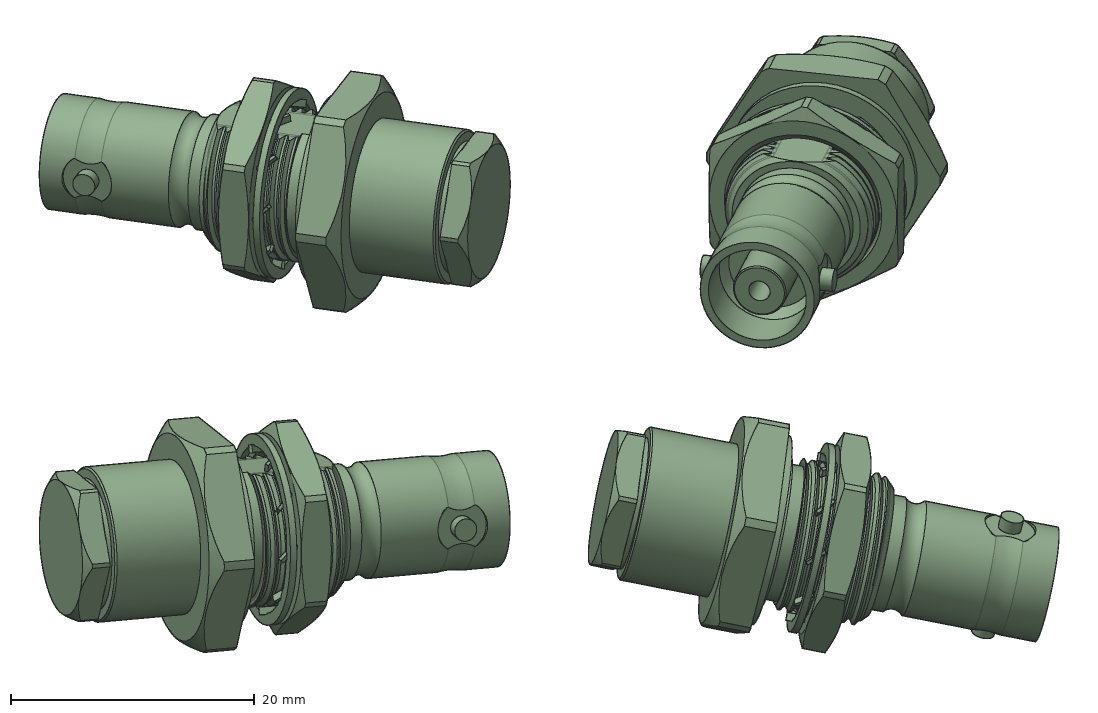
import cadquery as cq
import math

LENGTH = 37.27

TUBE_R = 9.6 / 2
BORE_R = 8.25 / 2
BORE_LENGTH = 3.9
SEAT_R = 3.6
BORE_DEPTH = 5.2
POST_R = 4.45 / 2
POST_FACE_X = 0.8
POST_CHAMFER = 0.1
CONTACT_R = 1.8 / 2
CONTACT_DEPTH = 3.73

PIN_X = 4.1
PIN_R = 1.9 / 2
PIN_END_Y = 5.55
SPOT_R = 2.143
SPOT_Y = 4.47
PIN_GROOVE_WIDTH = 2.27
PIN_GROOVE_DEPTH = 0.1

ROOT_GROOVE_X = 12.0
ROOT_GROOVE_WIDTH = 1.68
ROOT_GROOVE_DEPTH = 0.37

BARREL_X = 14.0
LEAD_R = 5.4
THREAD_CREST_R = 12.6 / 2
THREAD_ROOT_R = 5.93
THREAD_PITCH = 0.9
THREAD_START_X = 14.27
THREAD_TURNS = 9
CREST_WIDTH = 0.15
RIDGE_WIDTH = 0.67
RIDGE_EMBED = 0.1
RELIEF_X = 21.65
RELIEF_R = 5.65
COLLAR_X = 22.77
COLLAR_R = 12.7 / 2
KEY_FLAT_Z = 5.45

FLANGE_X = 23.15
FLANGE_R = 15.8 / 2
BODY_HEX_X = 23.8
BODY_HEX_FLATS = 17.4
BODY_HEX_CORNER_R = 19.68 / 2
BODY_HEX_FACE_R = 8.57
BODY_HEX_CHAMFER = 0.9
SLEEVE_X = 27.32
SLEEVE_R = 6.4
SLEEVE_END_X = 34.7
SLEEVE_CHAMFER = 0.15

NUT_X = 16.5
NUT_END_X = 19.12
NUT_FLATS = 15.88
NUT_CORNER_R = 18.05 / 2
NUT_FACE_R = 15.8 / 2
NUT_CHAMFER = 0.37
NUT_THREAD_GAP = 0.05
NUT_THREAD_TURNS = 5
NUT_MOUTH_R = 13.25 / 2

WASHER_X = 19.5
WASHER_END_X = 20.05
WASHER_R = 15.8 / 2
WASHER_BORE_R = 6.9
TOOTH_COUNT = 10
TOOTH_TIP_R = 12.7 / 2
TOOTH_FIRST_ANGLE = 34.0
TOOTH_TWIST = -45.0
TOOTH_WIDTH = 1.85
TOOTH_THICKNESS = 0.3
TOOTH_X = 19.8

NECK_R = 11.0 / 2
CLAMP_HEX_X = 35.15
CLAMP_FLATS = 11.18
CLAMP_CORNER_R = 12.7 / 2
CLAMP_FACE_R = 5.6
CLAMP_CHAMFER = 0.6


def revolved(points):
    """Solid of revolution about X from a closed (x, radius) outline."""
    return cq.Workplane("XY").polyline(points).close().revolve(360, (0, 0, 0), (1, 0, 0))


def cylinder(x_start, x_end, radius):
    """Cylinder on the X axis between two X positions."""
    return cq.Workplane("YZ", origin=(x_start, 0, 0)).circle(radius).extrude(x_end - x_start)


def hexagon(x_start, x_end, flats, corner_turn):
    """Hexagonal prism with corners on the Y axis, turned by an angle about X."""
    corner_diameter = flats / math.cos(math.pi / 6)
    prism = cq.Workplane("YZ", origin=(x_start, 0, 0)).polygon(6, corner_diameter).extrude(x_end - x_start)
    return prism.rotate((0, 0, 0), (1, 0, 0), corner_turn)


def arc_groove(x_center, width, depth):
    """Ring cutter whose section is a shallow arc sunk into the tube surface."""
    left = x_center - width / 2
    right = x_center + width / 2
    outside = TUBE_R + depth
    return (
        cq.Workplane("XY")
        .moveTo(left, outside)
        .lineTo(left, TUBE_R)
        .threePointArc((x_center, TUBE_R - depth), (right, TUBE_R))
        .lineTo(right, outside)
        .close()
        .revolve(360, (0, 0, 0), (1, 0, 0))
    )


def make_tube():
    """Bayonet tube with its bore, centre post, grooves and pins."""
    tube = cylinder(0, BARREL_X, TUBE_R)
    bore = revolved([(0, 0), (0, BORE_R), (BORE_LENGTH, BORE_R), (BORE_DEPTH, SEAT_R), (BORE_DEPTH, 0)])
    tube = tube.cut(bore)
    tube = tube.cut(arc_groove(PIN_X, PIN_GROOVE_WIDTH, PIN_GROOVE_DEPTH))
    tube = tube.cut(arc_groove(ROOT_GROOVE_X, ROOT_GROOVE_WIDTH, ROOT_GROOVE_DEPTH))

    post = cylinder(POST_FACE_X, BORE_DEPTH, POST_R).faces("<X").chamfer(POST_CHAMFER)
    post = post.cut(cylinder(POST_FACE_X, POST_FACE_X + CONTACT_DEPTH, CONTACT_R))
    tube = tube.union(post)

    wall_middle = (BORE_R + SPOT_Y) / 2
    for side in (1, -1):
        spot_plane = cq.Plane((PIN_X, side * SPOT_Y, 0), (1, 0, 0), (0, side, 0))
        tube = tube.cut(cq.Workplane(spot_plane).circle(SPOT_R).extrude(TUBE_R))
        pin_plane = cq.Plane((PIN_X, side * wall_middle, 0), (1, 0, 0), (0, side, 0))
        tube = tube.union(cq.Workplane(pin_plane).circle(PIN_R).extrude(PIN_END_Y - wall_middle))
    return tube


def helical_ridge(x_start, turns, tip_r, tip_width, foot_r, foot_width):
    """Right-handed helical ridge whose foot is extended into the wall that carries it."""
    half_tip = tip_width / 2
    half_foot = foot_width / 2
    embed_r = foot_r + math.copysign(RIDGE_EMBED, foot_r - tip_r)
    half_embed = half_foot + (half_foot - half_tip) * RIDGE_EMBED / abs(foot_r - tip_r)
    path = cq.Wire.makeHelix(THREAD_PITCH, THREAD_PITCH * turns, embed_r)
    profile = cq.Workplane("XZ").polyline(
        [(embed_r, -half_embed), (tip_r, -half_tip), (tip_r, half_tip), (embed_r, half_embed)]
    ).close()
    ridge = profile.sweep(cq.Workplane(path), isFrenet=True)
    return ridge.rotate((0, 0, 0), (0, 1, 0), 90).translate((x_start, 0, 0))


def make_barrel():
    """Threaded barrel with its lead chamfer, thread relief, collar and key flat."""
    clear_r = THREAD_CREST_R + 0.37
    key_cutter = cq.Workplane("XY", origin=((BARREL_X + FLANGE_X) / 2, 0, KEY_FLAT_Z)).rect(
        FLANGE_X - BARREL_X, 2 * clear_r
    ).extrude(clear_r)
    core = revolved(
        [
            (BARREL_X, 0),
            (BARREL_X, LEAD_R),
            (BARREL_X + THREAD_ROOT_R - LEAD_R, THREAD_ROOT_R),
            (RELIEF_X, THREAD_ROOT_R),
            (RELIEF_X, RELIEF_R),
            (COLLAR_X, RELIEF_R),
            (COLLAR_X, COLLAR_R),
            (FLANGE_X, COLLAR_R),
            (FLANGE_X, 0),
        ]
    ).cut(key_cutter)
    ridge_envelope = revolved(
        [
            (BARREL_X, 0),
            (BARREL_X, LEAD_R),
            (BARREL_X + clear_r - LEAD_R, clear_r),
            (RELIEF_X, clear_r),
            (RELIEF_X, 0),
        ]
    ).cut(key_cutter)
    ridge = helical_ridge(
        THREAD_START_X, THREAD_TURNS, THREAD_CREST_R, CREST_WIDTH, THREAD_ROOT_R, RIDGE_WIDTH
    )
    return core.union(ridge.intersect(ridge_envelope, clean=False), clean=False)


def make_body():
    """Connector body: tube, barrel, flange, fixed hexagon and rear sleeve."""
    hex_envelope = revolved(
        [
            (BODY_HEX_X, 0),
            (BODY_HEX_X, BODY_HEX_CORNER_R),
            (SLEEVE_X - BODY_HEX_CHAMFER, BODY_HEX_CORNER_R),
            (SLEEVE_X, BODY_HEX_FACE_R),
            (SLEEVE_X, 0),
        ]
    )
    body_hex = hexagon(BODY_HEX_X, SLEEVE_X, BODY_HEX_FLATS, 0).intersect(hex_envelope)
    sleeve = cylinder(SLEEVE_X, SLEEVE_END_X, SLEEVE_R).faces(">X").chamfer(SLEEVE_CHAMFER)
    flange = cylinder(FLANGE_X, BODY_HEX_X, FLANGE_R)
    rear = flange.union(body_hex).union(sleeve)
    return make_barrel().union(make_tube(), clean=False).union(rear, clean=False)


def nut_bore(radius):
    """Bore of the panel nut with a 45 degree chamfer from the mouth down to a radius."""
    mouth = NUT_MOUTH_R - radius
    return revolved(
        [
            (NUT_X, 0),
            (NUT_X, NUT_MOUTH_R),
            (NUT_X + mouth, radius),
            (NUT_END_X - mouth, radius),
            (NUT_END_X, NUT_MOUTH_R),
            (NUT_END_X, 0),
        ]
    )


def make_nut_thread(groove_r):
    """Internal ridge of the panel nut, running midway between the turns of the barrel thread."""
    tip_r = THREAD_ROOT_R + NUT_THREAD_GAP
    tip_width = THREAD_PITCH - RIDGE_WIDTH - 2 * NUT_THREAD_GAP
    foot_width = THREAD_PITCH - CREST_WIDTH - 2 * NUT_THREAD_GAP
    first_turn = math.floor((NUT_X - THREAD_START_X) / THREAD_PITCH) - 0.5
    x_start = THREAD_START_X + first_turn * THREAD_PITCH
    ridge = helical_ridge(x_start, NUT_THREAD_TURNS, tip_r, tip_width, groove_r, foot_width)
    room = cylinder(NUT_X, NUT_END_X, groove_r + 2 * RIDGE_EMBED).cut(nut_bore(tip_r - RIDGE_EMBED))
    return ridge.intersect(room, clean=False)


def make_panel_nut():
    """Threaded hexagon nut chamfered on both faces, with its corners on the Z axis."""
    envelope = revolved(
        [
            (NUT_X, 0),
            (NUT_X, NUT_FACE_R),
            (NUT_X + NUT_CHAMFER, NUT_CORNER_R),
            (NUT_END_X - NUT_CHAMFER, NUT_CORNER_R),
            (NUT_END_X, NUT_FACE_R),
            (NUT_END_X, 0),
        ]
    )
    groove_r = THREAD_CREST_R + NUT_THREAD_GAP
    blank = hexagon(NUT_X, NUT_END_X, NUT_FLATS, 90).intersect(envelope).cut(nut_bore(groove_r))
    return blank.union(make_nut_thread(groove_r), clean=False)


def make_lock_washer():
    """Flat ring with twisted teeth pointing inward."""
    ring = cylinder(WASHER_X, WASHER_END_X, WASHER_R).cut(cylinder(WASHER_X, WASHER_END_X, WASHER_BORE_R))
    root_r = WASHER_BORE_R + 0.1
    tooth_space = cylinder(NUT_END_X, COLLAR_X, root_r).cut(cylinder(NUT_END_X, COLLAR_X, TOOTH_TIP_R))
    inner_y = TOOTH_TIP_R - 0.37
    tooth = (
        cq.Workplane("XZ", origin=(TOOTH_X, inner_y, 0))
        .rect(TOOTH_THICKNESS, TOOTH_WIDTH)
        .extrude(inner_y - root_r - 0.37)
        .rotate((TOOTH_X, 0, 0), (TOOTH_X, 1, 0), TOOTH_TWIST)
    )
    for index in range(TOOTH_COUNT):
        angle = TOOTH_FIRST_ANGLE + index * 360 / TOOTH_COUNT
        turned = tooth.rotate((0, 0, 0), (1, 0, 0), angle)
        ring = ring.union(turned.intersect(tooth_space))
    return ring


def make_clamp_nut():
    """Rear hexagon nut on a short neck that butts against the sleeve."""
    envelope = revolved(
        [
            (CLAMP_HEX_X, 0),
            (CLAMP_HEX_X, CLAMP_CORNER_R),
            (LENGTH - CLAMP_CHAMFER, CLAMP_CORNER_R),
            (LENGTH, CLAMP_FACE_R),
            (LENGTH, 0),
        ]
    )
    head = hexagon(CLAMP_HEX_X, LENGTH, CLAMP_FLATS, 0).intersect(envelope)
    return head.union(cylinder(SLEEVE_END_X, CLAMP_HEX_X, NECK_R))


body = make_body()
panel_nut = make_panel_nut()
lock_washer = make_lock_washer()
clamp_nut = make_clamp_nut()

result = cq.Compound.makeCompound([body.val(), panel_nut.val(), lock_washer.val(), clamp_nut.val()])